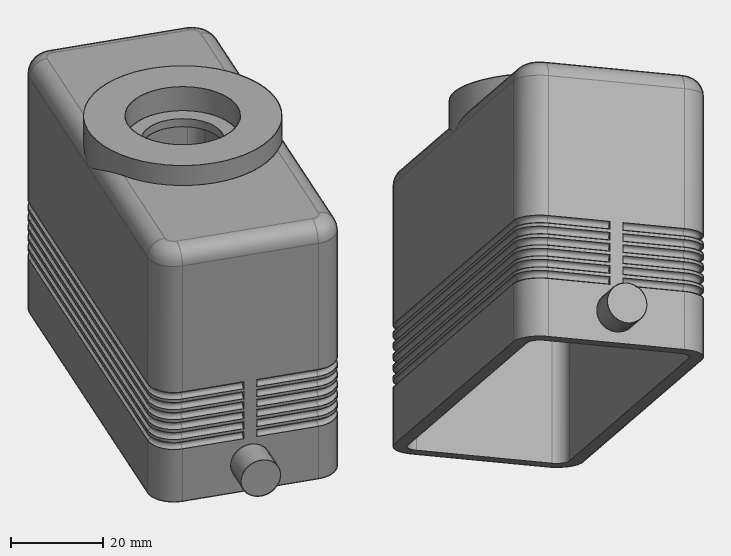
import cadquery as cq

body_length = 93.5
body_width = 43.0
body_height = 63.0
corner_radius = 6.0
top_edge_radius = 4.0
wall = 3.0

boss_diameter = body_width
boss_top = 68.0
counterbore_diameter = 25.0
counterbore_depth = 6.0
entry_diameter = 18.0

groove_count = 6
groove_pitch = 2.5
groove_radius = 0.85
lowest_groove_z = 14.0
groove_gap = 3.0

pin_span = 108.0
pin_diameter = 9.0
pin_z = 7.0


def rounded_box(length, width, height, radius):
    """Upright box standing on Z = 0 with rounded vertical edges."""
    box = cq.Workplane("XY").box(length, width, height, centered=(True, True, False))
    return box.edges("|Z").fillet(radius)


def upright_cylinder(diameter, bottom, top):
    """Cylinder on the Z axis between two heights."""
    return cq.Workplane("XY").workplane(offset=bottom).circle(diameter / 2).extrude(top - bottom)


def make_shell():
    """Rounded body with rounded roof edges and the boss on top."""
    body = rounded_box(body_length, body_width, body_height, corner_radius)
    body = body.faces(">Z").edges().fillet(top_edge_radius)
    boss = upright_cylinder(boss_diameter, body_height - top_edge_radius, boss_top)
    return body.union(boss)


def make_cavity():
    """Inside of the hood, leaving an even wall at the sides and roof."""
    return rounded_box(
        body_length - 2 * wall,
        body_width - 2 * wall,
        body_height - wall,
        corner_radius - wall,
    )


def make_cable_entry():
    """Stepped hole from the boss top into the cavity."""
    counterbore = upright_cylinder(counterbore_diameter, boss_top - counterbore_depth, boss_top)
    entry = upright_cylinder(entry_diameter, body_height - 2 * wall, boss_top)
    return counterbore.union(entry)


def make_groove_ring(z):
    """Round bar following the body outline at height z, broken at the short sides."""
    outline = (
        rounded_box(body_length, body_width, body_height, corner_radius)
        .translate((0, 0, z))
        .faces("<Z")
        .wires()
    )
    ring = cq.Workplane("YZ", origin=(0, -body_width / 2, z)).circle(groove_radius).sweep(outline)
    gap_strip = (
        cq.Workplane("XY")
        .box(body_length + 2 * groove_radius, groove_gap, 2 * groove_radius)
        .translate((0, 0, z))
    )
    return ring.cut(gap_strip)


def make_pin(side):
    """Solid pin standing out of one short side (-1 or 1), rooted in the wall."""
    length = (pin_span - body_length) / 2 + wall
    return (
        cq.Workplane("YZ", origin=(side * pin_span / 2, 0, pin_z))
        .circle(pin_diameter / 2)
        .extrude(-side * length)
    )


hood = make_shell().cut(make_cavity()).cut(make_cable_entry())
for index in range(groove_count):
    hood = hood.cut(make_groove_ring(lowest_groove_z + index * groove_pitch))
for side in (-1, 1):
    hood = hood.union(make_pin(side))

result = hood